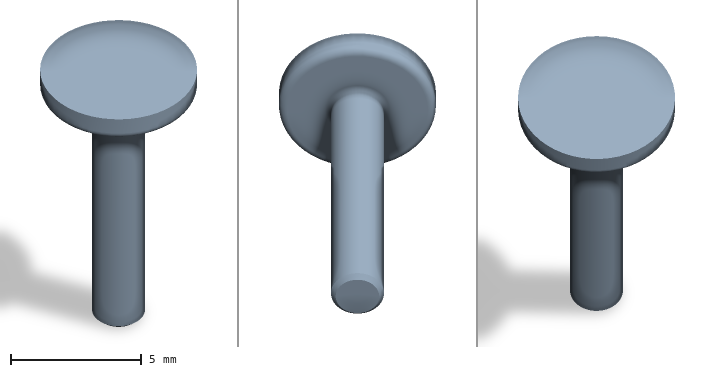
import cadquery as cq

total_length = 12.0
head_diameter = 6.0
head_thickness = 1.0
head_edge_radius = 0.3
shank_diameter = 2.03
neck_fillet = 0.2
tip_chamfer = 0.18

shank_length = total_length - head_thickness

shank = (
    cq.Workplane("XY")
    .circle(shank_diameter / 2)
    .extrude(shank_length)
    .faces("<Z")
    .chamfer(tip_chamfer)
)

head = (
    cq.Workplane("XY")
    .workplane(offset=shank_length)
    .circle(head_diameter / 2)
    .extrude(head_thickness)
    .faces("<Z")
    .edges()
    .fillet(head_edge_radius)
)

neck_corner = cq.selectors.BoxSelector(
    (-shank_diameter, -shank_diameter, shank_length - neck_fillet),
    (shank_diameter, shank_diameter, shank_length + neck_fillet),
    boundingbox=True,
)
result = shank.union(head).edges(neck_corner).fillet(neck_fillet)